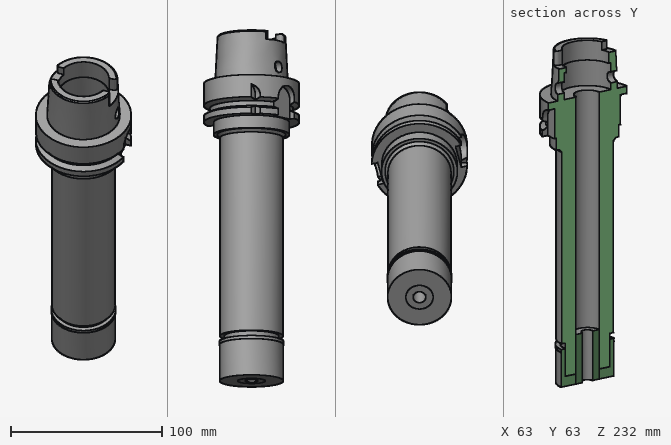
import cadquery as cq
import math


total_height = 232.0
flange_top = 200.0
flange_bottom = 174.0
collar_bottom = 165.6
tube_bottom = 30.2
nut_top = 26.5

taper_base_radius = 24.1
taper_slope = 0.05
taper_top_radius = taper_base_radius - taper_slope * (total_height - flange_top)
rim_chamfer = 1.0
bore_radius = 17.0
bore_depth = 13.7
undercut_radius = 18.5
clamp_hole_radius = 3.7
clamp_hole_level = 208.3

notch_width = 12.5
notch_corner_radius = 2.0
shallow_notch_depth = 5.8
deep_notch_depth = 10.0

flange_radius = 31.5
groove_radius = 27.5
groove_top = 185.1
groove_bottom = 178.2
groove_flank_height = 1.9

keyway_radius = 8.1
keyway_top = 194.6
keyway_floor = 26.5
side_pocket_offset = 27.8
side_pocket_floor = 20.5

collar_radius = 25.0
collar_shoulder_radius = 22.7
tube_radius = 20.9
shoulder_cone_height = 2.0
neck_radius = 18.0

nut_radius = 21.0
nut_rim_radius = 21.3
nut_rim_height = 2.0
nut_floor = 7.0
collet_radius = 9.0
collet_hole_radius = 4.2
collet_height = 34.8


def cylinder(radius, bottom, top):
    return cq.Workplane("XY").workplane(offset=bottom).circle(radius).extrude(top - bottom)


def make_holder_blank():
    """Revolved outside of the holder, from the threaded neck up to the taper rim."""
    chamfer_base_radius = taper_top_radius + taper_slope * rim_chamfer
    profile = [
        (0, nut_floor),
        (neck_radius, nut_floor),
        (neck_radius, tube_bottom),
        (tube_radius, tube_bottom),
        (tube_radius, collar_bottom - shoulder_cone_height),
        (collar_shoulder_radius, collar_bottom),
        (collar_radius, collar_bottom),
        (collar_radius, flange_bottom),
        (flange_radius, flange_bottom),
        (flange_radius, groove_bottom),
        (groove_radius, groove_bottom + groove_flank_height),
        (groove_radius, groove_top - groove_flank_height),
        (flange_radius, groove_top),
        (flange_radius, flange_top),
        (taper_base_radius, flange_top),
        (chamfer_base_radius, total_height - rim_chamfer),
        (chamfer_base_radius - rim_chamfer, total_height),
        (0, total_height),
    ]
    return cq.Workplane("XZ").polyline(profile).close().revolve(360, (0, 0, 0), (0, 1, 0))


def make_notch_cutter(side, depth):
    """Drive notch through the taper wall on one X side, flared by round outer corners."""
    bottom = total_height - depth
    half_width = notch_width / 2
    arc_center_y = half_width + notch_corner_radius
    arc_center_reach = taper_top_radius - notch_corner_radius
    arc_center_x = math.sqrt(arc_center_reach**2 - arc_center_y**2)
    rim_angle = math.atan2(arc_center_y, arc_center_x)
    rim_x = taper_top_radius * math.cos(rim_angle)
    rim_y = taper_top_radius * math.sin(rim_angle)
    mid_angle = (rim_angle - math.pi / 2) / 2
    mid_x = arc_center_x + notch_corner_radius * math.cos(mid_angle)
    mid_y = arc_center_y + notch_corner_radius * math.sin(mid_angle)
    outline = (
        cq.Workplane("XY")
        .workplane(offset=bottom)
        .moveTo(0, -half_width)
        .lineTo(side * arc_center_x, -half_width)
        .threePointArc((side * mid_x, -mid_y), (side * rim_x, -rim_y))
        .lineTo(side * flange_radius, -rim_y)
        .lineTo(side * flange_radius, rim_y)
        .lineTo(side * rim_x, rim_y)
        .threePointArc((side * mid_x, mid_y), (side * arc_center_x, half_width))
        .lineTo(0, half_width)
        .close()
    )
    return outline.extrude(depth)


def make_keyway_cutter(side, center_y, floor):
    """Round-topped slot, open at the flange's lower face, with a flat floor facing X."""
    spring_level = keyway_top - keyway_radius
    return (
        cq.Workplane("YZ")
        .workplane(offset=side * floor)
        .moveTo(center_y - keyway_radius, flange_bottom)
        .lineTo(center_y + keyway_radius, flange_bottom)
        .lineTo(center_y + keyway_radius, spring_level)
        .threePointArc((center_y, keyway_top), (center_y - keyway_radius, spring_level))
        .close()
        .extrude(side * (flange_radius - floor))
    )


def make_flange_pocket():
    """Pocket beside the -X keyway that leaves the collar below the flange whole."""
    return make_keyway_cutter(-1, side_pocket_offset, side_pocket_floor)


def make_holder():
    holder = make_holder_blank()

    bore_bottom = total_height - bore_depth
    holder = holder.cut(cylinder(bore_radius, bore_bottom, total_height))
    holder = holder.cut(cylinder(undercut_radius, flange_top, bore_bottom))
    holder = holder.cut(cylinder(collet_radius, nut_floor, flange_top))

    clamp_hole = (
        cq.Workplane("YZ")
        .center(0, clamp_hole_level)
        .circle(clamp_hole_radius)
        .extrude(flange_radius, both=True)
    )
    holder = holder.cut(clamp_hole)

    for side, depth in ((-1, shallow_notch_depth), (1, deep_notch_depth)):
        holder = holder.cut(make_notch_cutter(side, depth))
        holder = holder.cut(make_keyway_cutter(side, 0, keyway_floor))

    return holder.cut(make_flange_pocket())


def make_nut():
    """Cup-shaped nut screwed over the neck, with a slightly wider rim at its top."""
    nut = cylinder(nut_radius, 0, nut_top)
    nut = nut.union(cylinder(nut_rim_radius, nut_top - nut_rim_height, nut_top))
    nut = nut.cut(cylinder(neck_radius, nut_floor, nut_top))
    return nut.cut(cylinder(collet_radius, 0, nut_floor))


def make_collet():
    """Plain sleeve filling the lower end of the shank bore."""
    return cylinder(collet_radius, 0, collet_height).cut(cylinder(collet_hole_radius, 0, collet_height))


holder = make_holder()
nut = make_nut()
collet = make_collet()

result = cq.Compound.makeCompound([holder.val(), nut.val(), collet.val()])